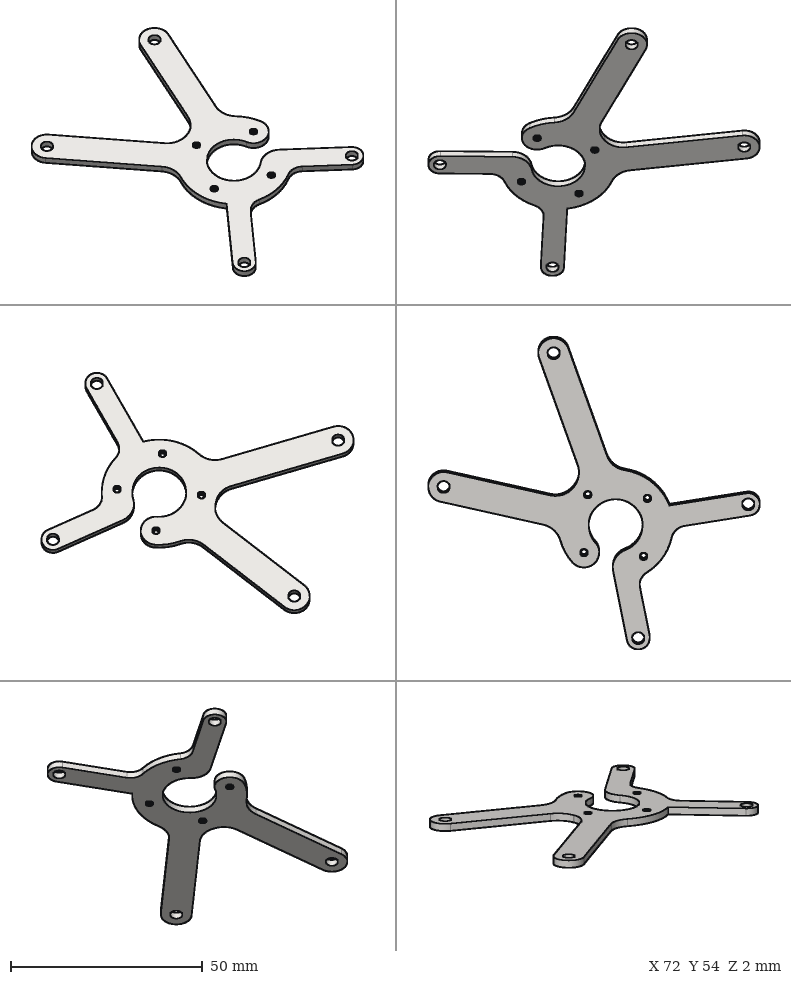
import cadquery as cq
import math

length = 72.0
width = 54.0
thickness = 2.0

left_arm_radius = 4.0
right_arm_radius = 3.0
mount_hole_diameter = 3.2
mount_spacing_x = length - left_arm_radius - right_arm_radius
mount_spacing_y = width - 2 * left_arm_radius

ring_offset_x = 9.0
ring_offset_y = 3.0
bolt_circle_radius = 11.0
ring_band = 8.0
ring_outer_radius = bolt_circle_radius + ring_band / 2
bore_radius = bolt_circle_radius - ring_band / 2
bolt_count = 4
first_bolt_angle = 100.0

thread_minor_radius = 0.8
thread_major_radius = 1.0
thread_turns = 5

left_blend_radius = 6.0
right_blend_radius = 4.0
gap_corner_radius = 5.2

left_x = -mount_spacing_x / 2 - ring_offset_x
right_x = mount_spacing_x / 2 - ring_offset_x
upper_y = mount_spacing_y / 2 - ring_offset_y
lower_y = -mount_spacing_y / 2 - ring_offset_y

upper_left = (left_x, upper_y)
lower_left = (left_x, lower_y)
upper_right = (right_x, upper_y)
lower_right = (right_x, lower_y)
mount_points = [upper_left, lower_left, upper_right, lower_right]


def polar(radius, degrees):
    """Point at a radius and angle about the ring centre."""
    angle = math.radians(degrees)
    return (radius * math.cos(angle), radius * math.sin(angle))


def direction(point):
    """Angle in degrees from the ring centre to a point."""
    return math.degrees(math.atan2(point[1], point[0]))


def disc(radius, center=(0, 0)):
    """Round slab as thick as the plate."""
    return cq.Workplane("XY").center(*center).circle(radius).extrude(thickness)


def arm(end, radius):
    """Round-ended bar from the ring centre to a mounting point."""
    reach = math.hypot(*end)
    bar = cq.Workplane("XY").slot2D(reach + 2 * radius, 2 * radius).extrude(thickness)
    bar = bar.translate((reach / 2, 0, 0))
    return bar.rotate((0, 0, 0), (0, 0, 1), direction(end))


def round_corner(body, end, arm_radius, circle_radius, side, blend_radius):
    """Fillet the corner of an arm's edge and a ring circle; side is +1 counterclockwise of the arm."""
    corner_angle = direction(end) + side * math.degrees(math.asin(arm_radius / circle_radius))
    x, y = polar(circle_radius, corner_angle)
    corner = cq.selectors.NearestToPointSelector((x, y, thickness / 2))
    return body.edges("|Z").edges(corner).fillet(blend_radius)


def threaded_hole():
    """Solid to remove for a grooved hole, standing on the origin along Z."""
    pitch = thickness / thread_turns
    profile = [(0, 0), (thread_major_radius, 0)]
    for turn in range(thread_turns):
        profile.append((thread_minor_radius, (turn + 0.5) * pitch))
        profile.append((thread_major_radius, (turn + 1) * pitch))
    profile.append((0, thickness))
    return cq.Workplane("XZ").polyline(profile).close().revolve(360, (0, 0), (0, 1))


gap_reach = 2 * ring_outer_radius
gap = (
    cq.Workplane("XY")
    .polyline([(0, 0), polar(gap_reach, direction(upper_right)), polar(gap_reach, first_bolt_angle)])
    .close()
    .extrude(thickness)
)
free_end = disc(ring_band / 2, polar(bolt_circle_radius, first_bolt_angle))
plate = disc(ring_outer_radius).cut(gap).union(free_end)

for end in (upper_left, lower_left):
    plate = plate.union(arm(end, left_arm_radius))
for end in (upper_right, lower_right):
    plate = plate.union(arm(end, right_arm_radius))
plate = plate.cut(disc(bore_radius))

for end in (upper_left, lower_left):
    for side in (1, -1):
        plate = round_corner(plate, end, left_arm_radius, ring_outer_radius, side, left_blend_radius)
for end, side in ((upper_right, -1), (lower_right, 1)):
    plate = round_corner(plate, end, right_arm_radius, ring_outer_radius, side, right_blend_radius)
plate = round_corner(plate, upper_right, right_arm_radius, bore_radius, 1, gap_corner_radius)

for point in mount_points:
    plate = plate.cut(disc(mount_hole_diameter / 2, point))
for index in range(bolt_count):
    x, y = polar(bolt_circle_radius, first_bolt_angle + index * 360 / bolt_count)
    plate = plate.cut(threaded_hole().translate((x, y, 0)))

result = plate